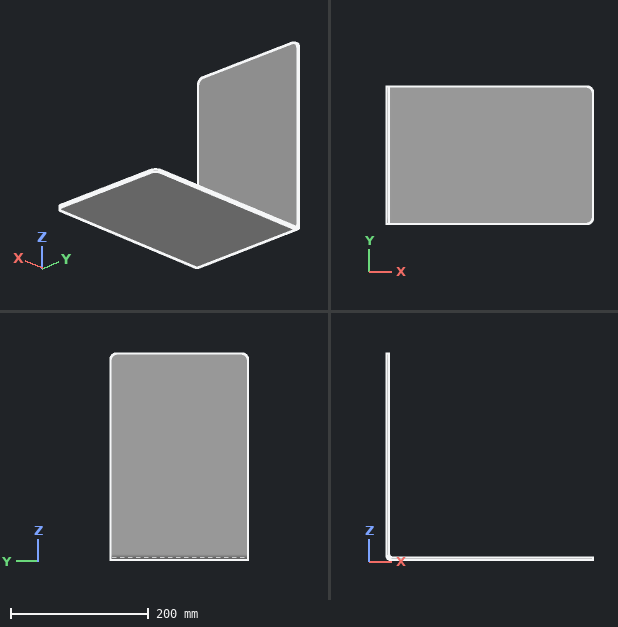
import cadquery as cq

leg_length = 300.0
width = 200.0
thickness = 4.0
inner_bend_radius = 4.0
outer_bend_radius = inner_bend_radius + thickness
corner_radius = 10.0


def bent_sheet():
    """L-shaped sheet: one leg along +X, one along +Z, joined by a rounded bend at the origin."""
    profile = (
        cq.Workplane("XZ")
        .moveTo(outer_bend_radius, 0)
        .lineTo(leg_length, 0)
        .lineTo(leg_length, thickness)
        .lineTo(outer_bend_radius, thickness)
        .radiusArc((thickness, outer_bend_radius), inner_bend_radius)
        .lineTo(thickness, leg_length)
        .lineTo(0, leg_length)
        .lineTo(0, outer_bend_radius)
        .radiusArc((outer_bend_radius, 0), -outer_bend_radius)
        .close()
    )
    return profile.extrude(width / 2, both=True)


def round_free_corners(sheet):
    """Round the two corners at the free end of each leg."""
    sheet = sheet.faces(">X").edges("|Z").fillet(corner_radius)
    return sheet.faces(">Z").edges("|X").fillet(corner_radius)


result = round_free_corners(bent_sheet())